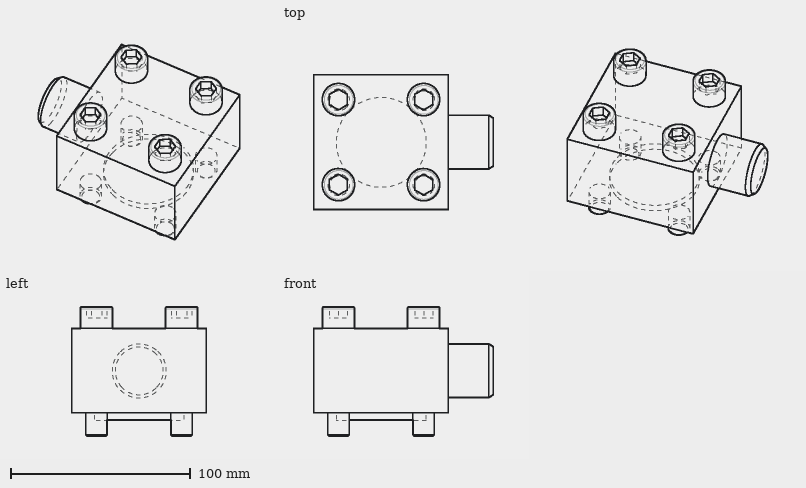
import cadquery as cq
import math

block_side = 75.0
block_height = 47.0

spigot_diameter = 30.0
spigot_length = 25.0
spigot_chamfer_length = 2.5
spigot_chamfer_depth = 1.7

disc_diameter = 50.0
disc_height = 4.0

screw_spacing = 47.3
head_diameter = 18.0
head_height = 12.0
head_fillet = 1.0
shank_diameter = 12.0
shank_projection = 13.0
shank_chamfer = 1.0
socket_across_flats = 10.0
socket_depth = 6.0


def make_block():
    return cq.Workplane("XY").box(block_side, block_side, block_height, centered=(True, True, False))


def make_spigot():
    """Cylinder along +X with a tapered free end, revolved about its axis."""
    radius = spigot_diameter / 2
    return (
        cq.Workplane("XY", origin=(block_side / 2, 0, block_height / 2))
        .polyline([
            (0, 0),
            (spigot_length, 0),
            (spigot_length, radius - spigot_chamfer_depth),
            (spigot_length - spigot_chamfer_length, radius),
            (0, radius),
        ])
        .close()
        .revolve(360, (0, 0), (1, 0))
    )


def make_disc():
    return cq.Workplane("XY").circle(disc_diameter / 2).extrude(-disc_height)


def make_screw():
    """Screw on the Z axis, with its head seated on top of the block."""
    head_top = block_height + head_height
    head = (
        cq.Workplane("XY", origin=(0, 0, block_height))
        .circle(head_diameter / 2)
        .extrude(head_height)
        .faces(">Z").edges().fillet(head_fillet)
    )
    shank = (
        cq.Workplane("XY", origin=(0, 0, -shank_projection))
        .circle(shank_diameter / 2)
        .extrude(shank_projection + block_height)
        .faces("<Z").edges().chamfer(shank_chamfer)
    )
    across_corners = socket_across_flats / math.cos(math.radians(30))
    socket = (
        cq.Workplane("XY", origin=(0, 0, head_top))
        .transformed(rotate=(0, 0, 30))
        .polygon(6, across_corners)
        .extrude(-socket_depth)
    )
    return head.union(shank).cut(socket)


result = make_block().union(make_spigot()).union(make_disc())
screw = make_screw()
for x_side in (-1, 1):
    for y_side in (-1, 1):
        position = (x_side * screw_spacing / 2, y_side * screw_spacing / 2, 0)
        result = result.union(screw.translate(position))